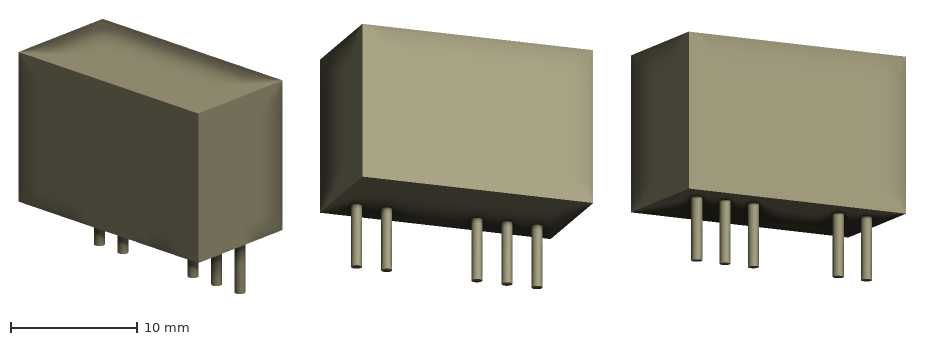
import cadquery as cq

case_length = 19.5
case_width = 9.8
overall_height = 17.85
pin_length = 5.1
case_height = overall_height - pin_length

pin_diameter = 0.88
pin_pitch = 2.54
pin_grid_positions = [-3, -2, 1, 2, 3]
pin_row_to_back_face = 2.67
pin_row_y = case_width / 2 - pin_row_to_back_face


def make_case():
    return cq.Workplane("XY").box(case_length, case_width, case_height, centered=(True, True, False))


def make_pin(x):
    """Round pin that hangs from the underside of the case."""
    return cq.Workplane("XY").center(x, pin_row_y).circle(pin_diameter / 2).extrude(-pin_length)


case = make_case()
pins = [make_pin(position * pin_pitch) for position in pin_grid_positions]

result = cq.Compound.makeCompound([case.val(), *[pin.val() for pin in pins]])